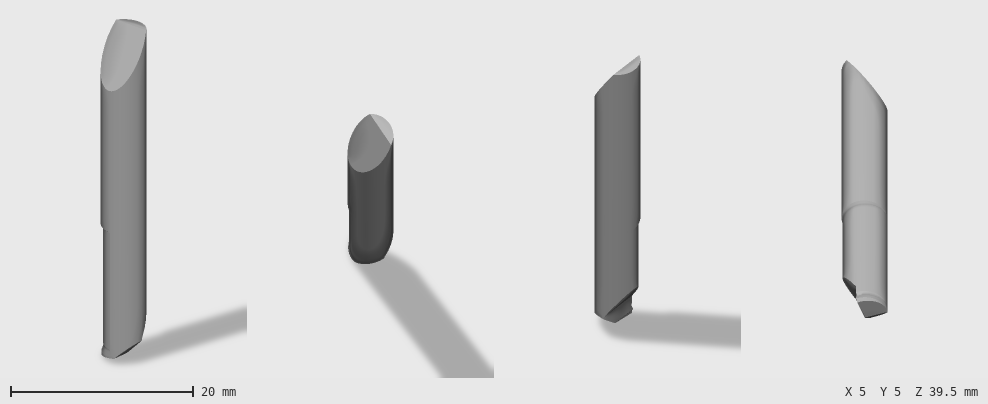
import cadquery as cq
import math

LENGTH = 39.5
SHANK_DIAMETER = 5.0
NECK_SHIFT = 0.3
GROOVE_SHIFT = 0.4
TIP_SHIFT = 0.1
NECK_Z = 15.75
BEVEL_ANGLE = 30.0
TOP_BEVEL_Y = 1.3
FLAT_Y = 0.2
FLAT_TOP_Z = 2.85
GROOVE_TOP_Z = 1.95
GROOVE_CONE_Z = 1.58
GROOVE_LOW_Z = 1.42
TIP_TOP_Z = 1.25
JOINT_X = 0.28
JOINT_LOW_Z = 1.0
EDGE_Z = 0.7
RAKE_LOW_Z = 0.4
CORNER_X = 0.35
CORNER_Z = 0.4
SIDE_RELIEF = 0.1
MARGIN = 1.98

SHANK_RADIUS = SHANK_DIAMETER / 2
TIP_EDGE_X = TIP_SHIFT - SHANK_RADIUS
BEVEL_SLOPE = 1 / math.tan(math.radians(BEVEL_ANGLE))
REACH = SHANK_RADIUS + MARGIN


def round_section(shift, z_low, z_high, high_radius=SHANK_RADIUS, high_shift=None):
    """Cylinder, cone or slanted cylinder shifted towards +X and trimmed by the shank surface."""
    end_shift = shift if high_shift is None else high_shift
    height = z_high - z_low
    low = cq.Workplane("XY", origin=(shift, 0, z_low)).circle(SHANK_RADIUS)
    body = low.workplane(offset=height).center(end_shift - shift, 0).circle(high_radius).loft()
    envelope = cq.Workplane("XY", origin=(0, 0, z_low)).circle(SHANK_RADIUS).extrude(height)
    return body.intersect(envelope)


def side_prism(points):
    """Extrude a (y, z) outline right across the part in X."""
    return cq.Workplane("YZ").polyline(points).close().extrude(REACH, both=True)


def front_prism(points):
    """Extrude an (x, z) outline right across the part in Y."""
    return cq.Workplane("XZ").polyline(points).close().extrude(REACH, both=True)


def make_blank():
    """Round stack: tip, groove, neck and shank, before the flat cuts."""
    blank = round_section(TIP_SHIFT, 0, EDGE_Z)
    tip_side = round_section(TIP_SHIFT, EDGE_Z, GROOVE_LOW_Z, high_shift=GROOVE_SHIFT)
    groove = round_section(GROOVE_SHIFT, GROOVE_LOW_Z, GROOVE_CONE_Z)
    cone_radius = SHANK_RADIUS + GROOVE_SHIFT - NECK_SHIFT
    groove_cone = round_section(GROOVE_SHIFT, GROOVE_CONE_Z, GROOVE_TOP_Z, high_radius=cone_radius)
    neck_limit = round_section(NECK_SHIFT, GROOVE_CONE_Z, GROOVE_TOP_Z)
    groove_cone = groove_cone.intersect(neck_limit)
    neck = round_section(NECK_SHIFT, GROOVE_TOP_Z, NECK_Z)
    shoulder_top_z = NECK_Z + NECK_SHIFT
    shoulder = round_section(NECK_SHIFT, NECK_Z, shoulder_top_z, high_radius=SHANK_RADIUS + NECK_SHIFT)
    shank = round_section(0, shoulder_top_z, LENGTH)
    for section in (tip_side, groove, groove_cone, neck, shoulder, shank):
        blank = blank.union(section)
    return blank


def top_bevel():
    drop = (TOP_BEVEL_Y + REACH) * BEVEL_SLOPE
    return side_prism([(TOP_BEVEL_Y, LENGTH), (-REACH, LENGTH), (-REACH, LENGTH - drop)])


def tip_clearance():
    """Lower bevel, flat, sloping rake face and cutting plane on the +Y side."""
    bevel_rise = (REACH - FLAT_Y) * BEVEL_SLOPE
    return side_prism([
        (0, -MARGIN),
        (0, RAKE_LOW_Z),
        (FLAT_Y, EDGE_Z),
        (FLAT_Y, FLAT_TOP_Z),
        (REACH, FLAT_TOP_Z + bevel_rise),
        (REACH, -MARGIN),
    ])


def corner_cut():
    """45 degree cut across the +X side of the lower end."""
    low_x = CORNER_X - CORNER_Z - MARGIN
    return front_prism([
        (low_x, -MARGIN),
        (REACH, REACH - low_x - MARGIN),
        (REACH, -MARGIN),
    ])


def end_relief():
    """Below a plane rising from the cutting corner towards +X and -Y."""
    edge_slope = CORNER_Z / (CORNER_X - TIP_EDGE_X)

    origin = (TIP_EDGE_X, 0, 0)
    normal = cq.Vector(edge_slope, -SIDE_RELIEF, -1)
    plane = cq.Plane(origin=origin, xDir=(1, 0, edge_slope), normal=normal)
    return cq.Workplane(plane).rect(4 * REACH, 4 * REACH).extrude(MARGIN)


def tip_space():
    """Region of the tip, bounded above by the stepped joint."""
    return front_prism([
        (-REACH, -MARGIN),
        (-REACH, TIP_TOP_Z),
        (JOINT_X, TIP_TOP_Z),
        (JOINT_X, JOINT_LOW_Z),
        (REACH, JOINT_LOW_Z),
        (REACH, -MARGIN),
    ])


tool = make_blank()
for cutter in (top_bevel(), tip_clearance(), corner_cut(), end_relief()):
    tool = tool.cut(cutter)

bar = tool.cut(tip_space())
cutting_tip = tool.intersect(tip_space())

result = cq.Compound.makeCompound([bar.val(), cutting_tip.val()])